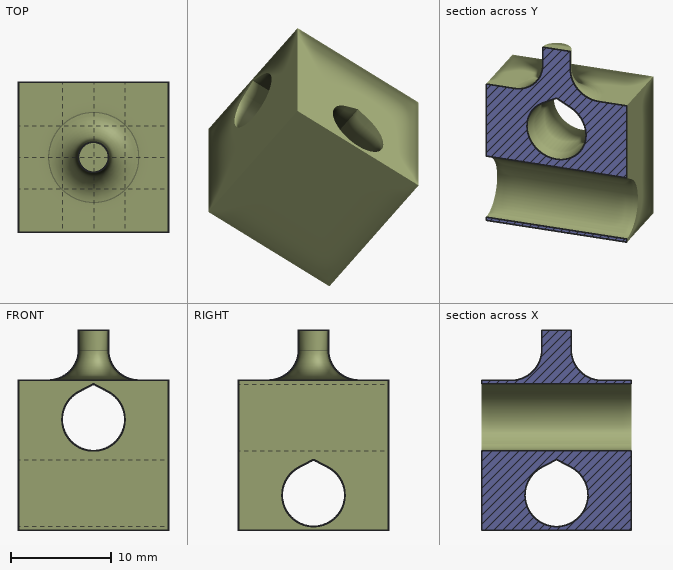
import cadquery as cq
import math

cube_side = 15.0

pin_diameter = 3.0
pin_height = 5.0
flare_radius = 3.0

hole_diameter = 6.25
apex_rise = 0.4
thin_wall = 0.4
hole_radius = hole_diameter / 2
apex_height = hole_radius + apex_rise
upper_hole_z = cube_side - thin_wall - apex_height
lower_hole_z = thin_wall + hole_radius


def flared_pin():
    """Pin with its quarter-round flare, revolved about Z."""
    pin_radius = pin_diameter / 2
    flare_edge = pin_radius + flare_radius
    flare_top = cube_side + flare_radius
    pin_top = cube_side + pin_height
    arc_offset = flare_radius * math.sin(math.radians(45))
    arc_middle = (flare_edge - arc_offset, flare_top - arc_offset)
    return (
        cq.Workplane("XZ")
        .moveTo(0, cube_side)
        .lineTo(flare_edge, cube_side)
        .threePointArc(arc_middle, (pin_radius, flare_top))
        .lineTo(pin_radius, pin_top)
        .lineTo(0, pin_top)
        .close()
        .revolve(360, (0, 0), (0, 1))
    )


def teardrop_hole(plane, centre_z):
    """Teardrop cutter through the whole cube, along the normal of the plane."""
    roof_slope = math.acos(hole_radius / apex_height)
    tangent_x = hole_radius * math.sin(roof_slope)
    tangent_z = centre_z + hole_radius * math.cos(roof_slope)
    return (
        cq.Workplane(plane)
        .moveTo(-tangent_x, tangent_z)
        .threePointArc((0, centre_z - hole_radius), (tangent_x, tangent_z))
        .lineTo(0, centre_z + apex_height)
        .close()
        .extrude(cube_side / 2, both=True)
    )


cube = cq.Workplane("XY").box(cube_side, cube_side, cube_side, centered=(True, True, False))

result = (
    cube.union(flared_pin())
    .cut(teardrop_hole("XZ", upper_hole_z))
    .cut(teardrop_hole("YZ", lower_hole_z))
)